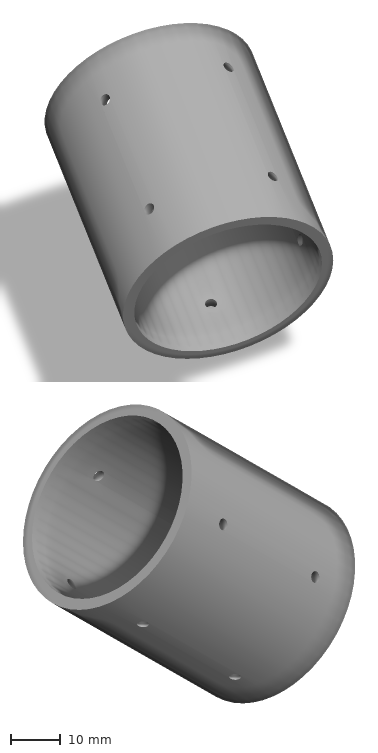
import cadquery as cq

length = 50.8
outer_diameter = 44.45
bore_diameter = 39.7

hole_diameter = 2.4
ring_spacing = 28.6
holes_per_ring = 5
first_hole_angle = 180.0


def make_tube():
    return (
        cq.Workplane("YZ")
        .circle(outer_diameter / 2)
        .circle(bore_diameter / 2)
        .extrude(length / 2, both=True)
    )


def radial_hole(x, angle):
    """Cutter from the tube axis out through one wall, turned about X."""
    return (
        cq.Workplane("XY")
        .center(x, 0)
        .circle(hole_diameter / 2)
        .extrude(outer_diameter)
        .rotate((0, 0, 0), (1, 0, 0), angle)
    )


result = make_tube()
for x in (-ring_spacing / 2, ring_spacing / 2):
    for index in range(holes_per_ring):
        angle = first_hole_angle + index * 360 / holes_per_ring
        result = result.cut(radial_hole(x, angle))